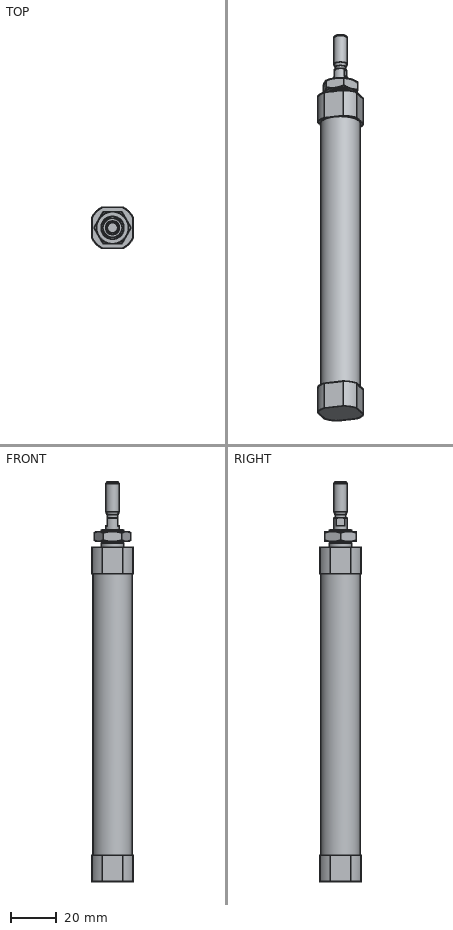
import cadquery as cq
import math

total_length = 174.6

cap_width = 18.0
cap_corner_diameter = 20.0
rear_cap_height = 11.5
front_cap_bottom = 134.5
front_cap_top = 146.1
barrel_diameter = 17.3
nose_diameter = 10.0
nose_relief_diameter = 8.9
nose_tip_diameter = 8.4
nose_top = 153.8
nose_chamfer_height = 0.5

nut_across_flats = 14.0
nut_bottom = 148.5
nut_height = 4.4
nut_face_diameter = 14.0
nut_chamfer_angle = 30.0

collar_height = 1.5
collar_top = front_cap_top + collar_height

rod_diameter = 6.0
rod_bottom = front_cap_bottom
rod_tip_chamfer = 0.7
neck_diameter = 4.7
shoulder_top = 158.7
neck_bottom = 159.0
neck_top = 160.3
thread_bottom = 161.7
flat_bottom = 155.4
across_rod_flats = 4.7


def disc(diameter, bottom, top):
    """Vertical cylinder on the Z axis between two heights."""
    return cq.Workplane("XY").workplane(offset=bottom).circle(diameter / 2).extrude(top - bottom)


def revolve_profile(points):
    """Solid of revolution about Z from (radius, height) points."""
    return cq.Workplane("XZ").polyline(points).close().revolve(360, (0, 0), (0, 1))


def make_end_cap(bottom, top):
    """Square block whose four corners are rounded by a common cylinder."""
    height = top - bottom
    block = cq.Workplane("XY").workplane(offset=bottom).rect(cap_width, cap_width).extrude(height)
    return block.intersect(disc(cap_corner_diameter, bottom, top))


def make_nose():
    """Front nose with a chamfered tip and an undercut above its collar."""
    radius = nose_diameter / 2
    relief_radius = nose_relief_diameter / 2
    return revolve_profile([
        (0, front_cap_top),
        (radius, front_cap_top),
        (radius, collar_top),
        (relief_radius, collar_top + nose_chamfer_height),
        (relief_radius, nut_bottom),
        (radius, nut_bottom),
        (radius, nose_top - nose_chamfer_height),
        (nose_tip_diameter / 2, nose_top),
        (0, nose_top),
    ])


def make_cylinder():
    """Caps, barrel and nose as one body, with a blind rod bore."""
    rear_cap = make_end_cap(0, rear_cap_height)
    barrel = disc(barrel_diameter, rear_cap_height, front_cap_bottom)
    front_cap = make_end_cap(front_cap_bottom, front_cap_top)
    rod_bore = disc(rod_diameter, rod_bottom, nose_top)
    body = rear_cap.union(barrel).union(front_cap).union(make_nose())
    return body.cut(rod_bore)


def make_nut():
    """Hexagon nut with corners on X and both faces chamfered."""
    nut_top = nut_bottom + nut_height
    corner_diameter = nut_across_flats / math.cos(math.radians(30))
    corner_radius = corner_diameter / 2
    face_radius = nut_face_diameter / 2
    chamfer_height = (corner_radius - face_radius) * math.tan(math.radians(nut_chamfer_angle))
    hexagon = cq.Workplane("XY").workplane(offset=nut_bottom).polygon(6, corner_diameter).extrude(nut_height)
    chamfer_envelope = revolve_profile([
        (0, nut_bottom),
        (face_radius, nut_bottom),
        (corner_radius, nut_bottom + chamfer_height),
        (corner_radius, nut_top - chamfer_height),
        (face_radius, nut_top),
        (0, nut_top),
    ])
    return hexagon.intersect(chamfer_envelope).cut(disc(nose_diameter, nut_bottom, nut_top))


def make_rod():
    """Rod with a plain thread end, a tapered neck below it and two wrench flats."""
    radius = rod_diameter / 2
    neck_radius = neck_diameter / 2
    rod = revolve_profile([
        (0, rod_bottom),
        (radius, rod_bottom),
        (radius, shoulder_top),
        (neck_radius, neck_bottom),
        (neck_radius, neck_top),
        (radius, thread_bottom),
        (radius, total_length - rod_tip_chamfer),
        (radius - rod_tip_chamfer, total_length),
        (0, total_length),
    ])
    clearance_diameter = 2 * rod_diameter
    flat_height = neck_bottom - flat_bottom
    outside_flats = disc(clearance_diameter, flat_bottom, neck_bottom)
    slab = cq.Workplane("XY").workplane(offset=flat_bottom)
    slab = slab.rect(across_rod_flats, clearance_diameter).extrude(flat_height)
    return rod.cut(outside_flats.cut(slab))


cylinder = make_cylinder()
nut = make_nut()
rod = make_rod()

result = cq.Compound.makeCompound([cylinder.val(), nut.val(), rod.val()])